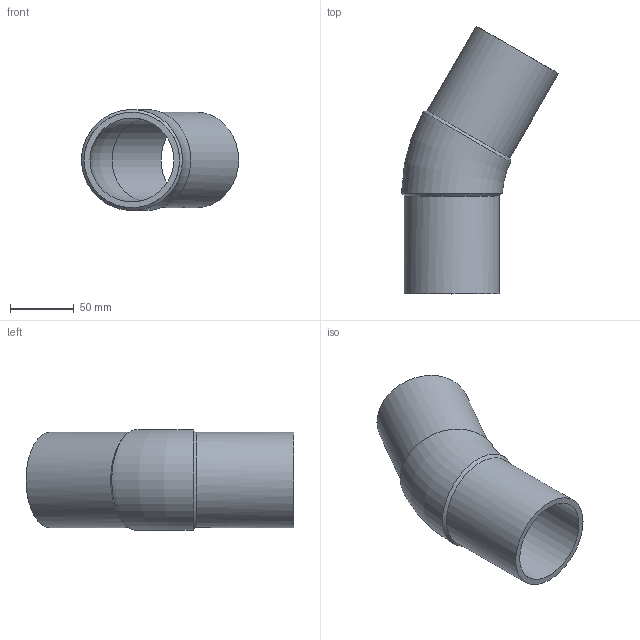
import cadquery as cq
import math

PIPE_DIAMETER = 75.0
BORE_DIAMETER = 66.0
WALL = (PIPE_DIAMETER - BORE_DIAMETER) / 2
ELBOW_DIAMETER = PIPE_DIAMETER + WALL
BEND_ANGLE = 30.0
OVERALL_LENGTH_Y = 210.95
BEND_RADIUS = 97.0
CHAMFER = WALL / 2

bend_radians = math.radians(BEND_ANGLE)
SPIGOT_LENGTH = (
    OVERALL_LENGTH_Y
    - BEND_RADIUS * math.sin(bend_radians)
    - PIPE_DIAMETER / 2 * math.sin(bend_radians)
) / (1 + math.cos(bend_radians))


def along_outlet(shape):
    """Swing a shape about the bend centre, from the start of the bend to its end."""
    bend_center = (BEND_RADIUS, SPIGOT_LENGTH)
    return shape.rotate((*bend_center, 0), (*bend_center, 1), -BEND_ANGLE)


def bent_rod(diameter):
    """Solid round rod that follows the bend from the inlet spigot towards +X."""
    return (
        cq.Workplane("XZ", origin=(0, SPIGOT_LENGTH, 0))
        .circle(diameter / 2)
        .revolve(BEND_ANGLE, (BEND_RADIUS, 1, 0), (BEND_RADIUS, 0, 0))
    )


def inlet_rod(diameter):
    """Solid round rod along +Y that ends where the bend starts."""
    return cq.Workplane("XZ").circle(diameter / 2).extrude(-SPIGOT_LENGTH)


def outlet_rod(diameter):
    """Solid round rod that continues from the end of the bend."""
    rod = inlet_rod(diameter).translate((0, SPIGOT_LENGTH, 0))
    return along_outlet(rod)


def full_rod(diameter):
    """Solid round rod along the whole centreline."""
    return inlet_rod(diameter).union(bent_rod(diameter)).union(outlet_rod(diameter))


def elbow():
    """Thicker bend with both rims bevelled."""
    return bent_rod(ELBOW_DIAMETER).faces("%PLANE").edges().chamfer(CHAMFER)


result = elbow().union(inlet_rod(PIPE_DIAMETER)).union(outlet_rod(PIPE_DIAMETER))
result = result.cut(full_rod(BORE_DIAMETER))